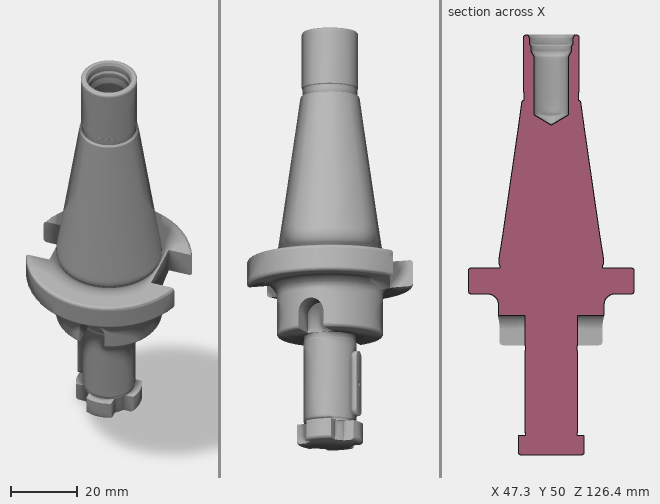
import cadquery as cq
import math


land_radius = 31.75 / 2
taper_slope = 7 / 48
taper_top = 48.7
taper_top_chamfer = 0.4
shank_top = 68.4
pilot_radius = 17.0 / 2
pilot_bottom = 51.0
pilot_rounding = 0.8
pilot_chamfer = 0.3
pilot_neck_radius = 16.5 / 2
taper_neck_radius = 31.0 / 2
taper_land_top = 0.6
taper_land_bottom = -0.4
taper_neck_top = -1.0

countersink_radius = 7.0
counterbore_radius = 6.5
countersink_depth = 0.9
counterbore_depth = 2.9
thread_radius = 6.0
thread_start_depth = 3.4
thread_end_depth = 5.0
drill_radius = 10.2 / 2
drill_start_depth = 6.5
drill_depth = 24.0
drill_point_angle = 118.0

flange_radius = 25.0
flange_top = -1.6
flange_bottom = -9.6
flange_rounding = 1.0
flange_slot_width = 16.1
flange_slot_floor = 16.2

shoulder_radius = 16.0
shoulder_bottom = -25.0
shoulder_root_radius = 3.0
shoulder_rounding = 1.0
drive_slot_width = 8.0
drive_slot_center_z = -20.0
drive_slot_floor = 8.0

spigot_radius = 8.0
spigot_neck_radius = 7.8
spigot_top = -26.8
spigot_chamfer_height = 0.4
spigot_lower_edge = -51.0
key_width = 4.0
key_length = 20.0
key_center_z = -40.0
key_outer = 9.4
key_inner = 5.5
key_hole_diameter = 1.7
key_hole_depth = 2.0

screw_top = -52.0
screw_bottom = -58.0
screw_radius = 10.0
screw_core_radius = 7.25
claw_width = 8.0
screw_rounding = 1.0


def disc(radius, bottom, top):
    """Cylinder on the Z axis between two heights."""
    return cq.Workplane("XY").workplane(offset=bottom).circle(radius).extrude(top - bottom)


def turned(profile):
    """Revolve a closed (radius, height) outline around the Z axis."""
    return cq.Workplane("XZ").polyline(profile).close().revolve(360, (0, 0, 0), (0, 1, 0))


def shank():
    """Lower neck, cylindrical land, 7/24 taper, upper neck and pilot."""
    taper_shoulder_z = taper_top - taper_top_chamfer
    taper_shoulder_radius = land_radius - taper_slope * (taper_shoulder_z - taper_land_top)
    taper = turned([
        (0, flange_bottom),
        (taper_neck_radius, flange_bottom),
        (taper_neck_radius, taper_neck_top),
        (land_radius, taper_land_bottom),
        (land_radius, taper_land_top),
        (taper_shoulder_radius, taper_shoulder_z),
        (taper_shoulder_radius - taper_top_chamfer, taper_top),
        (0, taper_top),
    ])
    neck = disc(pilot_neck_radius, taper_top, pilot_bottom)
    pilot = disc(pilot_radius, pilot_bottom, shank_top)
    pilot = pilot.faces(">Z").edges().fillet(pilot_rounding)
    pilot = pilot.faces("<Z").edges().chamfer(pilot_chamfer)
    return taper.union(neck).union(pilot)


def drawbar_bore():
    """Stepped bore from the shank end down to a drill point."""
    point_length = drill_radius / math.tan(math.radians(drill_point_angle / 2))
    return turned([
        (0, shank_top),
        (countersink_radius, shank_top),
        (counterbore_radius, shank_top - countersink_depth),
        (counterbore_radius, shank_top - counterbore_depth),
        (thread_radius, shank_top - thread_start_depth),
        (thread_radius, shank_top - thread_end_depth),
        (drill_radius, shank_top - drill_start_depth),
        (drill_radius, shank_top - drill_depth),
        (0, shank_top - drill_depth - point_length),
    ])


def flange():
    """Disc with both rims rounded."""
    return disc(flange_radius, flange_bottom, flange_top).edges().fillet(flange_rounding)


def shoulder():
    """Cylinder with a rounded lower edge and a concave fillet running up into the flange."""
    root_bottom = flange_bottom - shoulder_root_radius
    bend = shoulder_root_radius * (1 - math.sqrt(0.5))
    return (
        cq.Workplane("XZ")
        .moveTo(0, flange_bottom)
        .lineTo(shoulder_radius + shoulder_root_radius, flange_bottom)
        .threePointArc((shoulder_radius + bend, flange_bottom - bend), (shoulder_radius, root_bottom))
        .lineTo(shoulder_radius, shoulder_bottom)
        .lineTo(0, shoulder_bottom)
        .close()
        .revolve(360, (0, 0, 0), (0, 1, 0))
        .faces("<Z")
        .edges()
        .fillet(shoulder_rounding)
    )


def flange_slot(side):
    """Slot cut into the flange and the root fillet on the +X or -X side."""
    depth = flange_radius - flange_slot_floor
    height = flange_top - shoulder_bottom
    return cq.Workplane("XY").box(depth, flange_slot_width, height).translate((
        side * (flange_slot_floor + depth / 2),
        0,
        flange_top - height / 2,
    ))


def drive_slot(side):
    """Round-topped slot, open at the shoulder's lower face, on the +Y or -Y side."""
    half_width = drive_slot_width / 2
    return (
        cq.Workplane("XZ", origin=(0, side * drive_slot_floor, 0))
        .moveTo(-half_width, shoulder_bottom)
        .lineTo(-half_width, drive_slot_center_z)
        .threePointArc((0, drive_slot_center_z + half_width), (half_width, drive_slot_center_z))
        .lineTo(half_width, shoulder_bottom)
        .close()
        .extrude(-side * shoulder_radius)
    )


def spigot():
    """Plain cylinder chamfered at both ends between two short necks."""
    return turned([
        (0, shoulder_bottom),
        (spigot_neck_radius, shoulder_bottom),
        (spigot_neck_radius, spigot_top + spigot_chamfer_height),
        (spigot_radius, spigot_top),
        (spigot_radius, spigot_lower_edge),
        (spigot_neck_radius, spigot_lower_edge - spigot_chamfer_height),
        (spigot_neck_radius, screw_top),
        (0, screw_top),
    ])


def feather_key():
    """Round-ended key on the -X side with a small blind hole at its middle."""
    outer_face = cq.Workplane("YZ", origin=(-key_outer, 0, key_center_z))
    key = outer_face.slot2D(key_length, key_width, 90).extrude(key_outer - key_inner)
    hole = outer_face.circle(key_hole_diameter / 2).extrude(key_hole_depth)
    return key.cut(hole)


def screw_head():
    """Round core with four parallel-sided claws along X and Y."""
    height = screw_top - screw_bottom
    head = disc(screw_radius, screw_bottom, screw_top).faces("<Z").edges().fillet(screw_rounding)
    cross = disc(screw_core_radius, screw_bottom, screw_top)
    for length, width in ((2 * screw_radius, claw_width), (claw_width, 2 * screw_radius)):
        arm = cq.Workplane("XY").box(length, width, height)
        cross = cross.union(arm.translate((0, 0, screw_bottom + height / 2)))
    return head.intersect(cross)


result = shank().union(flange()).union(shoulder())
for slot_side in (1, -1):
    result = result.cut(flange_slot(slot_side)).cut(drive_slot(slot_side))
result = result.union(spigot()).union(feather_key()).union(screw_head())
result = result.cut(drawbar_bore())